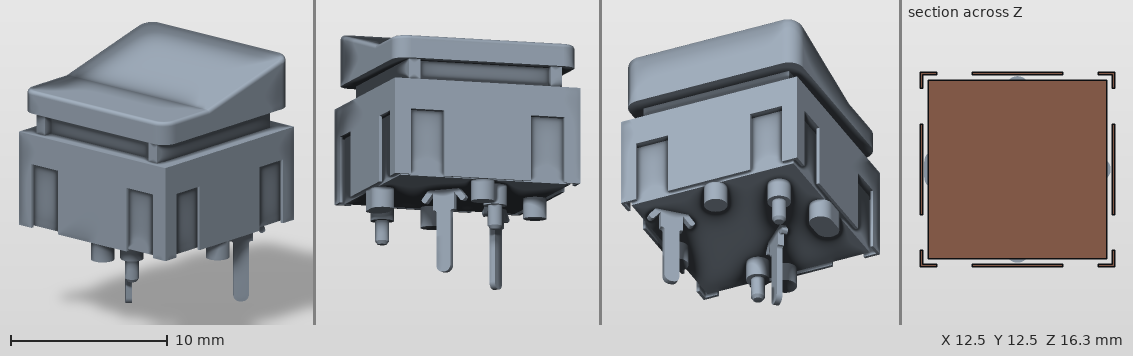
import cadquery as cq
import math

BOSS_BOTTOM_Z = 4.01
BODY_BOTTOM_Z = 5.32
BODY_TOP_Z = 11.51
CAP_BOTTOM_Z = 12.88
CAP_LOW_TOP_Z = 14.37
CAP_PEAK_Z = 16.31

BODY_SIDE = 12.45
SHELL_WALL = 0.2
CORE_INSET = 0.5
SLOT_WIDTH = 2.25
SLOT_CENTRE = 4.03
SLOT_HEIGHT = 4.24

PLUNGER_SIDE = 10.28
PLUNGER_CLEARANCE = 0.1
CLEARANCE_DEPTH = 0.98
RAIL_WIDTH = 0.75
RAIL_DEPTH = 0.64

CAP_SIDE = 12.23
CAP_CORNER_RADIUS = 0.98
CAP_EDGE_RADIUS = 0.25
CAP_BEND_Y = -1.86

GRID = 2.55
BOSS_DIAMETER = 1.5
STANDOFF_OFFSET = 5.2
KEYED_BOSS_LENGTH = 2.5
PIN_DIAMETER = 0.9
PIN_BOTTOM_Z = 2.5
PIN_TIP_INSET = 0.15
PIN_TIP_HEIGHT = 0.21
PIN_PLACES = [(-1.5 * GRID, 1.5 * GRID), (0.5 * GRID, -1.5 * GRID)]

TERMINAL_THICKNESS = 0.39
BLADE_WIDTH = 1.0
BLADE_TIP_RADIUS = 0.42
SHOULDER_WIDTH = 1.5
SHOULDER_FILLET = 0.18
BARB_THICKNESS = 0.39
BARB_REACH = 1.55
BARB_BOTTOM_Z = 4.52
BARB_ANGLE = 50
BARB_TIP_RADIUS = 0.15
TERMINAL_PLACES = [(-0.5 * GRID, -0.5 * GRID, -45), (1.5 * GRID, 1.5 * GRID, 45)]


def block(x_size, y_size, bottom_z, top_z):
    """A box centred on the Z axis between two heights."""
    return cq.Workplane().workplane(offset=bottom_z).rect(x_size, y_size).extrude(top_z - bottom_z)


def make_housing():
    housing = block(BODY_SIDE, BODY_SIDE, BODY_BOTTOM_Z, BODY_TOP_Z)
    slot_top_z = BODY_BOTTOM_Z + SLOT_HEIGHT
    cavity_side = BODY_SIDE - 2 * SHELL_WALL
    core_side = BODY_SIDE - 2 * CORE_INSET
    gap = block(cavity_side, cavity_side, BODY_BOTTOM_Z, slot_top_z)
    gap = gap.cut(block(core_side, core_side, BODY_BOTTOM_Z, slot_top_z))
    housing = housing.cut(gap)
    slot = block(SLOT_WIDTH, SHELL_WALL, BODY_BOTTOM_Z, slot_top_z)
    wall_y = (BODY_SIDE - SHELL_WALL) / 2
    for turn in range(0, 360, 90):
        for side in (-1, 1):
            placed = slot.translate((side * SLOT_CENTRE, wall_y, 0))
            housing = housing.cut(placed.rotate((0, 0, 0), (0, 0, 1), turn))
    return housing.cut(make_plunger_clearance())


def make_plunger_clearance():
    """The narrow square groove around the plunger in the top of the housing."""
    opening_side = PLUNGER_SIDE + 2 * PLUNGER_CLEARANCE
    groove_floor_z = BODY_TOP_Z - CLEARANCE_DEPTH
    opening = block(opening_side, opening_side, groove_floor_z, BODY_TOP_Z)
    return opening.cut(block(PLUNGER_SIDE, PLUNGER_SIDE, groove_floor_z, BODY_TOP_Z))


def make_plunger():
    plunger = block(PLUNGER_SIDE, PLUNGER_SIDE, BODY_TOP_Z, CAP_BOTTOM_Z)
    rail = block(RAIL_WIDTH, RAIL_DEPTH, BODY_TOP_Z, CAP_BOTTOM_Z)
    for side in (-1, 1):
        rail_x = side * (PLUNGER_SIDE - RAIL_WIDTH) / 2
        plunger = plunger.union(rail.translate((rail_x, -(PLUNGER_SIDE + RAIL_DEPTH) / 2, 0)))
    return plunger


def make_cap():
    half = CAP_SIDE / 2
    run = half - CAP_EDGE_RADIUS - CAP_BEND_Y
    slope = math.atan((CAP_PEAK_Z - CAP_LOW_TOP_Z) / run)
    sharp_peak = CAP_PEAK_Z + CAP_EDGE_RADIUS * (1 / math.cos(slope) - 1)
    rise_per_y = (sharp_peak - CAP_LOW_TOP_Z) / run
    rear_z = CAP_LOW_TOP_Z + rise_per_y * (half - CAP_BEND_Y)
    profile = [
        (-half, CAP_BOTTOM_Z),
        (half, CAP_BOTTOM_Z),
        (half, rear_z),
        (CAP_BEND_Y, CAP_LOW_TOP_Z),
        (-half, CAP_LOW_TOP_Z),
    ]
    cap = cq.Workplane("YZ").polyline(profile).close().extrude(half, both=True)
    cap = cap.edges("|Z").fillet(CAP_CORNER_RADIUS)
    return cap.faces("+Z or >Z").edges("(not |X) or >Y or <Y").fillet(CAP_EDGE_RADIUS)


def make_standoffs():
    height = BODY_BOTTOM_Z - BOSS_BOTTOM_Z
    base = cq.Workplane().workplane(offset=BOSS_BOTTOM_Z)
    round_places = [(STANDOFF_OFFSET, 0), (0, STANDOFF_OFFSET), (0, -STANDOFF_OFFSET)] + PIN_PLACES
    bosses = base.pushPoints(round_places).circle(BOSS_DIAMETER / 2).extrude(height)
    keyed = base.center(-STANDOFF_OFFSET, 0).slot2D(KEYED_BOSS_LENGTH, BOSS_DIAMETER, 90).extrude(height)
    pin = cq.Workplane().workplane(offset=PIN_BOTTOM_Z).circle(PIN_DIAMETER / 2)
    pin = pin.extrude(BODY_BOTTOM_Z - PIN_BOTTOM_Z)
    pin = pin.faces("<Z").chamfer(PIN_TIP_HEIGHT, PIN_TIP_INSET)
    standoffs = bosses.union(keyed)
    for x, y in PIN_PLACES:
        standoffs = standoffs.union(pin.translate((x, y, 0)))
    return standoffs


def make_terminal():
    """A flat blade in the XZ plane with a wide shoulder and two barbs slanting down from its sides."""
    shoulder = block(SHOULDER_WIDTH, TERMINAL_THICKNESS, BOSS_BOTTOM_Z, BODY_BOTTOM_Z)
    blade = block(BLADE_WIDTH, TERMINAL_THICKNESS, 0, BODY_BOTTOM_Z)
    blade = blade.edges("|Y and <Z").fillet(BLADE_TIP_RADIUS)
    terminal = shoulder.union(blade)
    reach = (BLADE_WIDTH + SHOULDER_WIDTH) / 4
    neck = cq.selectors.BoxSelector(
        (-reach, -reach, BOSS_BOTTOM_Z - reach),
        (reach, reach, BOSS_BOTTOM_Z + reach),
    )
    terminal = terminal.edges("|Y").edges(neck).fillet(SHOULDER_FILLET)
    barb = make_barb()
    return terminal.union(barb).union(barb.mirror("YZ"))


def make_barb():
    """One barb on the +X side: a bar with rounded tip corners, rooted in the shoulder."""
    bar = cq.Workplane().box(BARB_REACH, TERMINAL_THICKNESS, BARB_THICKNESS, centered=(False, True, True))
    bar = bar.edges("|Y and >X").fillet(BARB_TIP_RADIUS)
    bar = bar.rotate((0, 0, 0), (0, 1, 0), BARB_ANGLE)
    box = bar.val().BoundingBox()
    return bar.translate((BARB_REACH - box.xmax, 0, BARB_BOTTOM_Z - box.zmin))


result = make_housing().union(make_plunger()).union(make_cap()).union(make_standoffs())
terminal = make_terminal()
for x, y, turn in TERMINAL_PLACES:
    result = result.union(terminal.rotate((0, 0, 0), (0, 0, 1), turn).translate((x, y, 0)))